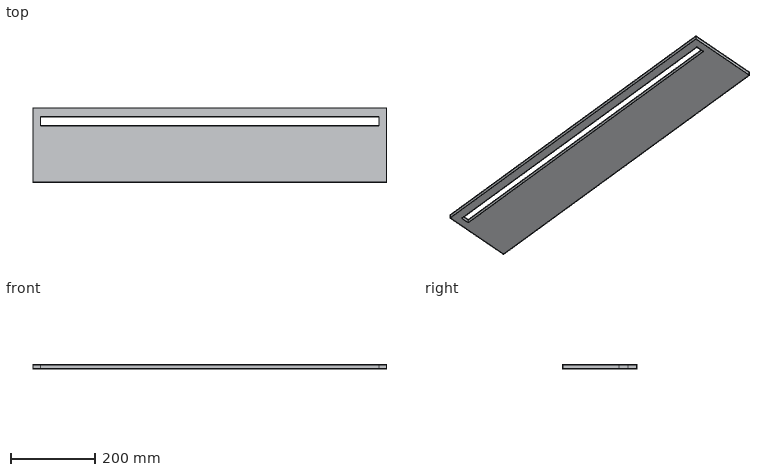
import cadquery as cq

length = 840.0
width = 176.0
thickness = 10.0

end_margin = 18.5
back_margin = 21.0
slot_width = 21.0
slot_length = length - 2 * end_margin
slot_center_y = width / 2 - back_margin - slot_width / 2

plate = cq.Workplane("XY").box(length, width, thickness)

result = (
    plate.faces(">Z")
    .workplane()
    .center(0, slot_center_y)
    .rect(slot_length, slot_width)
    .cutThruAll()
)